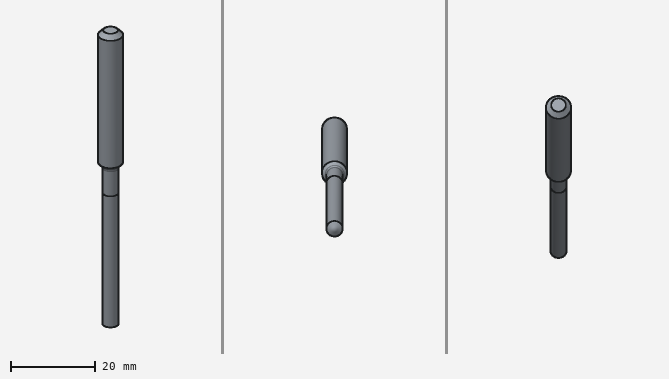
import cadquery as cq
import math

total_length = 81.0
shank_length = 36.0
cutter_length = 36.7

shank_diameter = 6.0
cutter_diameter = 3.9

end_chamfer = 1.25
transition_cone_angle = 45.0
transition_radius = 1.0
point_angle = 130.0

shank_radius = shank_diameter / 2
cutter_radius = cutter_diameter / 2
shank_bottom = total_length - shank_length
point_height = cutter_radius / math.tan(math.radians(point_angle / 2))


def make_shank():
    """Chamfered shank narrowing through a cone and a concave fillet to the neck."""
    cone_angle = math.radians(transition_cone_angle)

    def fillet_point(angle):
        """Point (radius, drop below the fillet's upper end) where the fillet leans by angle."""
        radius = cutter_radius + transition_radius * (1 - math.cos(angle))
        drop = transition_radius * (math.sin(cone_angle) - math.sin(angle))
        return radius, drop

    fillet_top_radius, _ = fillet_point(cone_angle)
    cone_height = (shank_radius - fillet_top_radius) / math.tan(cone_angle)
    fillet_top = shank_bottom - cone_height
    middle_radius, middle_drop = fillet_point(cone_angle / 2)
    _, fillet_height = fillet_point(0)

    return (
        cq.Workplane("XZ")
        .moveTo(0, cutter_length)
        .lineTo(cutter_radius, cutter_length)
        .lineTo(cutter_radius, fillet_top - fillet_height)
        .threePointArc((middle_radius, fillet_top - middle_drop), (fillet_top_radius, fillet_top))
        .lineTo(shank_radius, shank_bottom)
        .lineTo(shank_radius, total_length - end_chamfer)
        .lineTo(shank_radius - end_chamfer, total_length)
        .lineTo(0, total_length)
        .close()
        .revolve(360, (0, 0, 0), (0, 1, 0))
    )


def make_cutter():
    """Cylindrical cutting section with a conical point, meeting the neck end to end."""
    return (
        cq.Workplane("XZ")
        .lineTo(cutter_radius, point_height)
        .lineTo(cutter_radius, cutter_length)
        .lineTo(0, cutter_length)
        .close()
        .revolve(360, (0, 0, 0), (0, 1, 0))
    )


shank = make_shank()
cutter = make_cutter()

result = cq.Compound.makeCompound([shank.val(), cutter.val()])